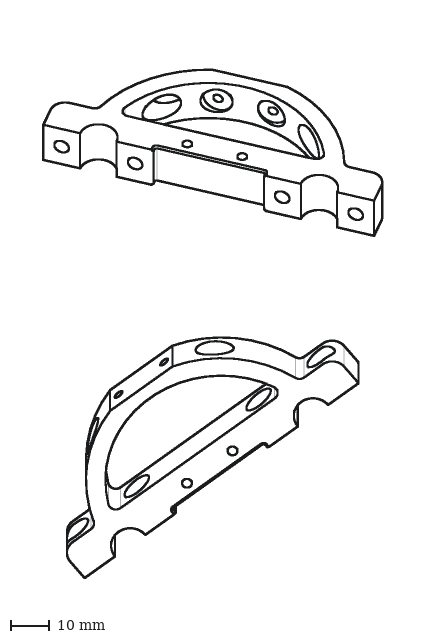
import cadquery as cq
import math

length = 90.0
depth = 33.5
height = 12.5
mid_height = height / 2
selection_margin = 0.1

bar_depth = 10.0
bar_corner_radius = 4.0
arch_outer_radius = 35.0
arch_inner_radius = 30.0
arch_outer_fillet = 2.0
arch_inner_fillet = 2.0

channel_radius = 4.95
channel_x = length / 3

relief_width = 30.1
relief_depth = 1.4
relief_edge = 0.5

bolt_diameter = 4.0
bolt_head_diameter = 8.0
bolt_head_depth = 4.0
bolt_offset = channel_x / 3
inner_bolt_x = channel_x - bolt_offset
outer_bolt_x = channel_x + bolt_offset

screw_diameter = 2.5
screw_x = 7.5
bar_screw_y = 4.95
screw_seat_diameter = 8.0
screw_seat_y = arch_inner_radius


def rod_along_y(x, diameter, y_start, y_end):
    """Cylinder along Y at mid height."""
    start = cq.Vector(x, y_start, mid_height)
    return cq.Workplane(cq.Solid.makeCylinder(diameter / 2, y_end - y_start, start, cq.Vector(0, 1, 0)))


def rod_along_z(x, y, diameter):
    """Cylinder along Z through the full height."""
    return cq.Workplane("XY").center(x, y).circle(diameter / 2).extrude(height)


def block(width, y_start, y_end):
    """Full-height block centred on X = 0."""
    body = cq.Workplane("XY").box(width, y_end - y_start, height, centered=(True, False, False))
    return body.translate((0, y_start, 0))


def vertical_edge_at(body, x, y):
    """Full-height edge at the given X and Y."""
    low = (x - selection_margin, y - selection_margin, -selection_margin)
    high = (x + selection_margin, y + selection_margin, height + selection_margin)
    return body.edges("|Z").edges(cq.selectors.BoxSelector(low, high))


def make_bar():
    """Bar with rounded back corners and the chamfered relief in its front face."""
    bar = block(length, 0, bar_depth).edges("|Z and >Y").fillet(bar_corner_radius)
    relief = block(relief_width, 0, relief_depth).edges("|Z and >Y").fillet(relief_edge)
    bar = bar.cut(relief)
    half_width = relief_width / 2 + selection_margin
    for z in (0, height):
        low = (-half_width, 0, z - selection_margin)
        high = (half_width, relief_depth + selection_margin, z + selection_margin)
        rim = cq.selectors.BoxSelector(low, high)
        bar = bar.edges(rim).chamfer(relief_edge)
    return bar


def make_arch():
    """Circular ring, flat at its crown and cut off at the back of the bar."""
    disc = cq.Workplane("XY").circle(arch_outer_radius).extrude(height)
    crown = disc.intersect(block(length, bar_depth, depth))
    opening = cq.Workplane("XY").circle(arch_inner_radius).extrude(height)
    opening = opening.intersect(block(length, bar_depth, depth))
    opening = opening.edges("|Z").fillet(arch_inner_fillet)
    return crown.cut(opening)


result = make_bar().union(make_arch())
arch_foot_x = math.sqrt(arch_outer_radius**2 - bar_depth**2)
for side in (-1, 1):
    result = vertical_edge_at(result, side * arch_foot_x, bar_depth).fillet(arch_outer_fillet)

for side in (-1, 1):
    result = result.cut(rod_along_z(side * channel_x, 0, 2 * channel_radius))

    for bolt_x in (inner_bolt_x, outer_bolt_x):
        result = result.cut(rod_along_y(side * bolt_x, bolt_diameter, 0, bar_depth))
        head_start = bar_depth - bolt_head_depth
        result = result.cut(rod_along_y(side * bolt_x, bolt_head_diameter, head_start, depth))

    result = result.cut(rod_along_z(side * screw_x, bar_screw_y, screw_diameter))
    result = result.cut(rod_along_y(side * screw_x, screw_diameter, screw_seat_y, depth))
    result = result.cut(rod_along_y(side * screw_x, screw_seat_diameter, bar_depth, screw_seat_y))